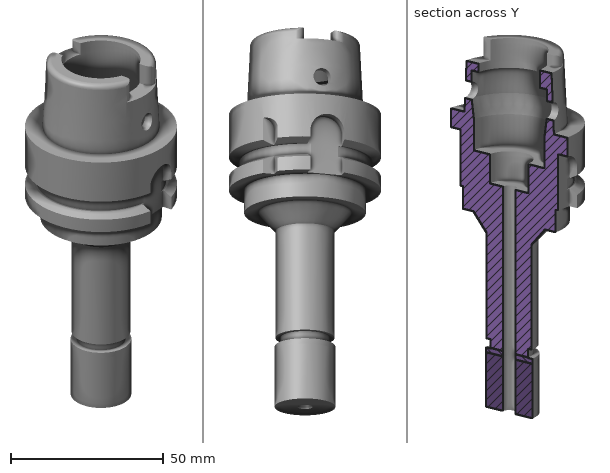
import cadquery as cq
import math


nut_top_z = 18.8
ring_top_z = 20.6
shank_bottom_z = 23.6
cone_bottom_z = 60.0
collar_bottom_z = 66.2
flange_bottom_z = 74.0
groove_lower_lip_z = 78.6
groove_floor_bottom_z = 80.1
groove_floor_top_z = 83.9
groove_upper_lip_z = 85.4
flange_top_z = 100.0
top_z = 125.0

nut_radius = 10.0
neck_radius = 8.1
shank_radius = 9.8
cone_top_radius = 15.4
collar_radius = 20.0
flange_radius = 25.0
groove_radius = 21.5
groove_lip_inner_radius = 22.2
taper_base_radius = 19.2
taper_ratio = 0.05
taper_top_radius = taper_base_radius - taper_ratio * (top_z - flange_top_z)
rim_round = 1.6

through_radius = 2.5
tube_bore_radius = 8.1
tube_bore_floor_z = 77.5
taper_bore_radius = 13.0
taper_bore_floor_z = 87.5
lower_bore_radius = 15.0
lower_bore_top_z = 98.1
undercut_radius = 16.0
undercut_top_z = 114.8
undercut_bottom_z = 105.1

rim_slot_half_width = 5.0
rim_slot_corner_radius = 2.1
rim_slot_floors = {-1: 120.9, 1: 117.8}

cross_hole_radius = 3.0
cross_hole_z = 107.8

keyway_half_width = 5.9
keyway_top_z = 93.4
keyway_floor_x = 21.0
notch_corner = 15.6
notch_radius = 4.0
notch_top_z = 92.9


def turned_body():
    """Solid of revolution of the holder, without its bores."""
    rim_center_x = taper_top_radius - rim_round
    rim_center_z = top_z - rim_round
    diagonal = rim_round * math.sqrt(0.5)
    return (
        cq.Workplane("XZ")
        .moveTo(0, ring_top_z)
        .lineTo(neck_radius, ring_top_z)
        .lineTo(neck_radius, shank_bottom_z)
        .lineTo(shank_radius, shank_bottom_z)
        .lineTo(shank_radius, cone_bottom_z)
        .lineTo(cone_top_radius, collar_bottom_z)
        .lineTo(collar_radius, collar_bottom_z)
        .lineTo(collar_radius, flange_bottom_z)
        .lineTo(flange_radius, flange_bottom_z)
        .lineTo(flange_radius, groove_lower_lip_z)
        .lineTo(groove_lip_inner_radius, groove_floor_bottom_z)
        .lineTo(groove_radius, groove_floor_bottom_z)
        .lineTo(groove_radius, groove_floor_top_z)
        .lineTo(groove_lip_inner_radius, groove_floor_top_z)
        .lineTo(flange_radius, groove_upper_lip_z)
        .lineTo(flange_radius, flange_top_z)
        .lineTo(taper_base_radius, flange_top_z)
        .lineTo(taper_top_radius + taper_ratio * rim_round, rim_center_z)
        .threePointArc(
            (rim_center_x + diagonal, rim_center_z + diagonal),
            (rim_center_x, top_z),
        )
        .lineTo(0, top_z)
        .close()
        .revolve(360, (0, 0, 0), (0, 1, 0))
    )


def stepped_bore():
    """Cutter for the through hole, tube bore, taper bore and the undercut that narrows below it."""
    return (
        cq.Workplane("XZ")
        .moveTo(0, ring_top_z)
        .lineTo(through_radius, ring_top_z)
        .lineTo(through_radius, tube_bore_floor_z)
        .lineTo(tube_bore_radius, tube_bore_floor_z)
        .lineTo(tube_bore_radius, taper_bore_floor_z)
        .lineTo(lower_bore_radius, taper_bore_floor_z)
        .lineTo(lower_bore_radius, lower_bore_top_z)
        .lineTo(undercut_radius, undercut_bottom_z)
        .lineTo(undercut_radius, undercut_top_z)
        .lineTo(taper_bore_radius, undercut_top_z)
        .lineTo(taper_bore_radius, top_z)
        .lineTo(0, top_z)
        .close()
        .revolve(360, (0, 0, 0), (0, 1, 0))
    )


def rim_slot(side, floor_z):
    """Slot cutter on the -X (-1) or +X (+1) side, its mouth rounded into the outer wall."""
    corner_distance = taper_top_radius - rim_slot_corner_radius
    corner_y = rim_slot_half_width + rim_slot_corner_radius
    corner_x = math.sqrt(corner_distance**2 - corner_y**2)
    wall_angle = math.atan2(corner_y, corner_x)
    middle_angle = (wall_angle - math.pi / 2) / 2
    middle_x = corner_x + rim_slot_corner_radius * math.cos(middle_angle)
    middle_y = corner_y + rim_slot_corner_radius * math.sin(middle_angle)
    mouth_x = taper_top_radius * math.cos(wall_angle)
    mouth_y = taper_top_radius * math.sin(wall_angle)
    return (
        cq.Workplane("XY", origin=(0, 0, floor_z))
        .moveTo(0, -rim_slot_half_width)
        .lineTo(side * corner_x, -rim_slot_half_width)
        .threePointArc((side * middle_x, -middle_y), (side * mouth_x, -mouth_y))
        .lineTo(side * flange_radius, -mouth_y)
        .lineTo(side * flange_radius, mouth_y)
        .lineTo(side * mouth_x, mouth_y)
        .threePointArc((side * middle_x, middle_y), (side * corner_x, rim_slot_half_width))
        .lineTo(0, rim_slot_half_width)
        .close()
        .extrude(top_z - floor_z)
    )


def cross_hole():
    """Cutter along X through both walls of the taper."""
    return (
        cq.Workplane("YZ", origin=(0, 0, cross_hole_z))
        .circle(cross_hole_radius)
        .extrude(flange_radius, both=True)
    )


def round_topped_slot(center_y, half_width, slot_top_z, inner_x, outer_x):
    """Cutter along X with a semicircular top, open through the bottom of the flange."""
    straight_top_z = slot_top_z - half_width
    return (
        cq.Workplane("YZ", origin=(inner_x, 0, 0))
        .moveTo(center_y - half_width, flange_bottom_z)
        .lineTo(center_y - half_width, straight_top_z)
        .threePointArc((center_y, slot_top_z), (center_y + half_width, straight_top_z))
        .lineTo(center_y + half_width, flange_bottom_z)
        .close()
        .extrude(outer_x - inner_x)
    )


def make_holder():
    """Holder: turned body with its bores, rim slots, cross hole, keyways and notch."""
    holder = turned_body().cut(stepped_bore()).cut(cross_hole())
    for side, floor_z in rim_slot_floors.items():
        holder = holder.cut(rim_slot(side, floor_z))
        keyway = round_topped_slot(
            0, keyway_half_width, keyway_top_z, side * keyway_floor_x, side * flange_radius
        )
        holder = holder.cut(keyway)
    notch_center_y = notch_corner + notch_radius
    notch = round_topped_slot(
        notch_center_y, notch_radius, notch_top_z, -notch_corner, -flange_radius
    )
    return holder.cut(notch)


def bored_disc(bottom_z, disc_top_z):
    """Disc of the nut's diameter with the through hole in its middle."""
    return (
        cq.Workplane("XY", origin=(0, 0, bottom_z))
        .circle(nut_radius)
        .circle(through_radius)
        .extrude(disc_top_z - bottom_z)
    )


holder = make_holder()
ring = bored_disc(nut_top_z, ring_top_z)
nut = bored_disc(0, nut_top_z)

result = cq.Compound.makeCompound([holder.val(), ring.val(), nut.val()])